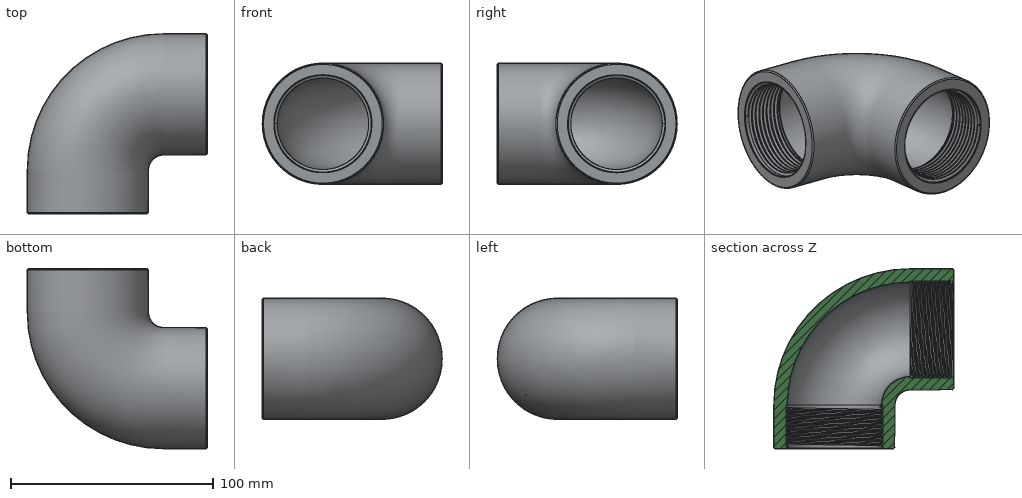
import cadquery as cq

outer_diameter = 60.0
overall_length = 89.0
bend_radius = 37.4
bend_angle = 90
socket_length = overall_length - bend_radius - outer_diameter / 2
mouth_distance = bend_radius + socket_length
socket_diameter = 47.8
bore_diameter = 46.6
outer_chamfer = 0.6
mouth_chamfer = 0.4

thread_pitch = 2.3
thread_turns = 8.5
thread_length = thread_pitch * thread_turns
thread_base_width = 1.8
thread_crest_width = 0.5
thread_crest_diameter = 45.2
thread_seat_clearance = 0.02
thread_root_radius = socket_diameter / 2 - thread_seat_clearance
thread_crest_radius = thread_crest_diameter / 2
thread_mouth_gap = 0.2

front_mouth = cq.Plane(origin=(0, -mouth_distance, 0), xDir=(-1, 0, 0), normal=(0, 1, 0))
side_mouth = cq.Plane(origin=(mouth_distance, 0, 0), xDir=(0, 1, 0), normal=(-1, 0, 0))
mouth_planes = [front_mouth, side_mouth]


def make_bend(diameter):
    """Quarter torus joining the inner ends of the two sockets."""
    front_end = cq.Plane(origin=(0, -bend_radius, 0), xDir=(1, 0, 0), normal=(0, 1, 0))
    return cq.Workplane(front_end).circle(diameter / 2).revolve(bend_angle, (bend_radius, 0), (bend_radius, 1))


def make_socket(mouth):
    """Outer sleeve of one leg, with a chamfered mouth edge."""
    sleeve = cq.Workplane(mouth).circle(outer_diameter / 2).extrude(socket_length)
    return sleeve.edges(cq.NearestToPointSelector(mouth.origin.toTuple())).chamfer(outer_chamfer)


def make_socket_bore(mouth):
    """Threaded length of one leg, flared at the mouth."""
    bore = cq.Workplane(mouth).circle(socket_diameter / 2).extrude(socket_length)
    bore_radius = socket_diameter / 2
    flare_radius = bore_radius + mouth_chamfer
    flare = cq.Solid.makeCone(flare_radius, bore_radius, mouth_chamfer, mouth.origin, mouth.zDir)
    return bore.union(cq.Workplane(flare))


def make_housing():
    housing = make_bend(outer_diameter)
    for mouth in mouth_planes:
        housing = housing.union(make_socket(mouth))
    housing = housing.cut(make_bend(bore_diameter))
    for mouth in mouth_planes:
        housing = housing.cut(make_socket_bore(mouth))
    return housing


def make_thread(mouth):
    """Trapezoidal ridge swept along a helix inside one socket."""
    start = thread_mouth_gap + thread_base_width / 2
    helix = cq.Wire.makeHelix(thread_pitch, thread_length, thread_root_radius)
    ridge = (
        cq.Workplane("XZ")
        .moveTo(thread_root_radius, -thread_base_width / 2)
        .lineTo(thread_root_radius, thread_base_width / 2)
        .lineTo(thread_crest_radius, thread_crest_width / 2)
        .lineTo(thread_crest_radius, -thread_crest_width / 2)
        .close()
        .sweep(cq.Workplane(helix), isFrenet=True)
    )
    return cq.Workplane(ridge.val().translate(cq.Vector(0, 0, start)).moved(cq.Location(mouth)))


housing = make_housing()
threads = [make_thread(mouth) for mouth in mouth_planes]

result = cq.Compound.makeCompound([housing.val(), *[thread.val() for thread in threads]])